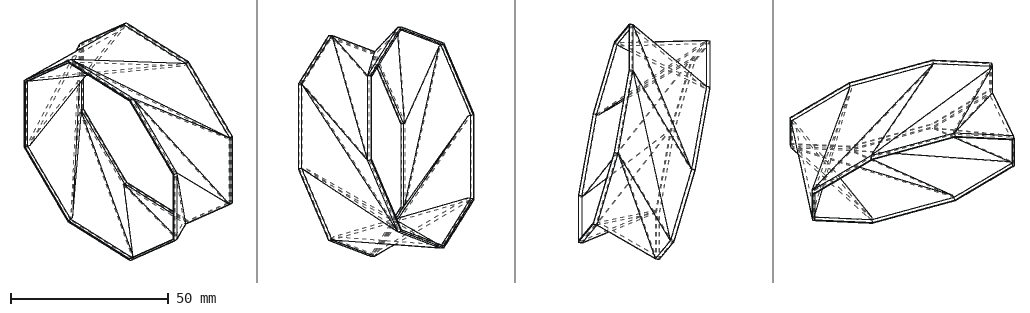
import cadquery as cq
import math

across_flats = 66.38
ring_width = 26.4
rim_width = 1.2
wall = 0.6

sides = 8
near_step = 1
far_step = near_step + 1

sector = 2 * math.pi / sides
apothem = across_flats / 2
half_width = ring_width / 2
fold_end = half_width - rim_width

corner_radius = apothem / math.cos(sector / 2)
facet_tip = corner_radius * math.cos(sector * (far_step - 0.5))
facet_rise = 2 * fold_end
facet_run = apothem - facet_tip
facet_distance = fold_end * (apothem + facet_tip) / math.hypot(facet_run, facet_rise)
inner_scale = (facet_distance - wall) / facet_distance

inner_fold_apothem = apothem * inner_scale
inner_fold_end = fold_end * inner_scale

bore_apothem = apothem - wall
bore_end = inner_fold_end + (bore_apothem - inner_fold_apothem) * facet_rise / facet_run


def octagon(flat_distance, y):
    """Corners of a flat-topped octagon at position y, clockwise when looking toward +Y."""
    radius = flat_distance / math.cos(sector / 2)
    corners = []
    for i in range(sides):
        angle = sector * (0.5 - i)
        corners.append(cq.Vector(radius * math.cos(angle), y, radius * math.sin(angle)))
    return corners


def flat_face(*corners):
    return cq.Face.makeFromWires(cq.Wire.makePolygon(corners, close=True))


def straight_band(front, back):
    """One four-sided face per side between two octagons."""
    faces = []
    for i in range(sides):
        following = (i + 1) % sides
        faces.append(flat_face(front[i], front[following], back[following], back[i]))
    return faces


def folded_band(front, back):
    """Two triangles per side, joining each front corner to two twisted back corners."""
    faces = []
    for i in range(sides):
        near = back[(i + near_step) % sides]
        far = back[(i + far_step) % sides]
        faces.append(flat_face(front[i], near, far))
        faces.append(flat_face(front[i], front[(i + 1) % sides], far))
    return faces


def twisted_solid(profile):
    """Closed solid from (apothem, half length) octagons, listed from the ends inward."""
    fronts = [octagon(flat_distance, -y) for flat_distance, y in profile]
    backs = [octagon(flat_distance, y) for flat_distance, y in profile]
    faces = [flat_face(*fronts[0]), flat_face(*backs[0])]
    for outer, inner in zip(fronts, fronts[1:]):
        faces += straight_band(outer, inner)
    for outer, inner in zip(backs, backs[1:]):
        faces += straight_band(inner, outer)
    faces += folded_band(fronts[-1], backs[-1])
    return cq.Workplane(cq.Solid.makeSolid(cq.Shell.makeShell(faces)))


outer_body = twisted_solid([
    (apothem, half_width),
    (apothem, fold_end),
])

inner_void = twisted_solid([
    (bore_apothem, half_width),
    (bore_apothem, bore_end),
    (inner_fold_apothem, inner_fold_end),
])

result = outer_body.cut(inner_void).clean().solids()